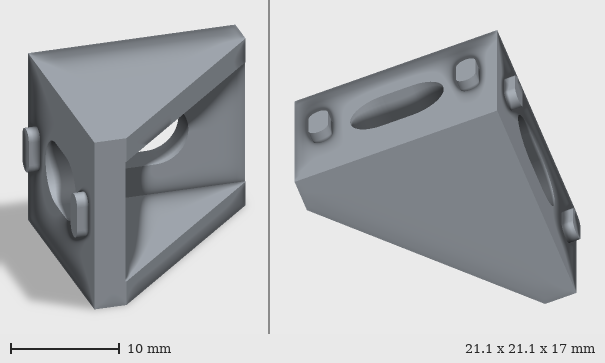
import cadquery as cq

overall = 21.1
height = 17.0
tab_projection = 1.1
leg_end = 3.1
wall = 3.0
plate = 2.4
slot_length = 9.25
slot_width = 6.25
slot_center = 9.9
tab_width = 1.92
tab_height = 4.35
tab_spacing = 14.55
first_tab = 2.68

leg = overall - tab_projection
corner = tab_projection
mid_height = height / 2
tab_centers = [first_tab, first_tab + tab_spacing]


def make_body():
    """Triangular block with flat leg ends, its corner at the outer faces."""
    outline = [(0, 0), (leg, 0), (leg, leg_end), (leg_end, leg), (0, leg)]
    return cq.Workplane("XY").polyline(outline).close().extrude(height)


def make_pocket():
    """Space between the walls and plates, open along the sloping side."""
    pocket_side = leg - wall
    return cq.Workplane("XY").box(
        pocket_side, pocket_side, height - 2 * plate, centered=False
    ).translate((wall, wall, plate))


def front_slot():
    """Rounded slot through the wall facing -Y."""
    return (
        cq.Workplane("XZ")
        .center(slot_center, mid_height)
        .slot2D(slot_length, slot_width)
        .extrude(-wall)
    )


def front_tabs():
    """Pair of upright rounded tabs projecting from the -Y face."""
    return (
        cq.Workplane("XZ")
        .pushPoints([(center, mid_height) for center in tab_centers])
        .slot2D(tab_height, tab_width, 90)
        .extrude(tab_projection)
    )


def on_side_wall(shape):
    """Mirror a feature of the -Y wall across the X = Y plane to the -X wall."""
    return shape.mirror("YZ").rotate((0, 0, 0), (0, 0, 1), -90)


slot = front_slot()
tabs = front_tabs()

bracket = make_body().cut(make_pocket())
bracket = bracket.cut(slot).cut(on_side_wall(slot))
bracket = bracket.union(tabs).union(on_side_wall(tabs))

result = bracket.translate((corner, corner, 0))